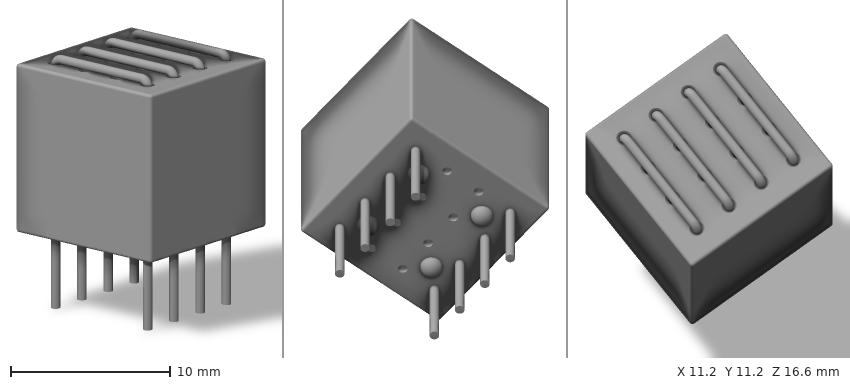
import cadquery as cq

housing_width = 11.2
housing_height = 11.0
edge_radius = 0.2

pitch = 2.54
grid_count = 4
mouth_diameter = 1.0

foot_radius = 0.7
foot_offset = pitch

wire_diameter = 0.6
bend_radius = 0.5
overall_height = 16.6

wire_radius = wire_diameter / 2
leg_offset = pitch * (grid_count - 1) / 2
grid_positions = [i * pitch - leg_offset for i in range(grid_count)]
bridge_axis_z = housing_height + wire_radius
leg_bottom_z = housing_height + wire_diameter - overall_height


def make_hole_cutter():
    """Through bore, as wide as a wire, with a 45 degree countersink at the top face."""
    countersink_depth = (mouth_diameter - wire_diameter) / 2
    return (
        cq.Workplane("XZ")
        .moveTo(0, 0)
        .lineTo(wire_radius, 0)
        .lineTo(wire_radius, housing_height - countersink_depth)
        .lineTo(mouth_diameter / 2, housing_height)
        .lineTo(0, housing_height)
        .close()
        .revolve(360, (0, 0, 0), (0, 1, 0))
    )


def make_foot():
    """Half ball hanging below the plane z = 0."""
    return (
        cq.Workplane("XZ")
        .moveTo(0, 0)
        .lineTo(foot_radius, 0)
        .radiusArc((0, -foot_radius), foot_radius)
        .close()
        .revolve(360, (0, 0, 0), (0, 1, 0))
    )


def make_housing():
    """Rounded block with the grid of wire holes and four feet."""
    block = (
        cq.Workplane("XY")
        .box(housing_width, housing_width, housing_height, centered=(True, True, False))
        .edges()
        .fillet(edge_radius)
    )
    hole_cutter = make_hole_cutter()
    for x in grid_positions:
        for y in grid_positions:
            block = block.cut(hole_cutter.translate((x, y, 0)))
    foot = make_foot()
    for x in (-foot_offset, foot_offset):
        for y in (-foot_offset, foot_offset):
            block = block.union(foot.translate((x, y, 0)))
    return block


def make_wire(y):
    """Round wire swept along leg, bend, bridge, bend and leg in the plane at y."""
    bend_start_z = bridge_axis_z - bend_radius
    bridge_end = leg_offset - bend_radius
    path = (
        cq.Workplane("XZ", origin=(0, y, 0))
        .moveTo(-leg_offset, leg_bottom_z)
        .lineTo(-leg_offset, bend_start_z)
        .radiusArc((-bridge_end, bridge_axis_z), bend_radius)
        .lineTo(bridge_end, bridge_axis_z)
        .radiusArc((leg_offset, bend_start_z), bend_radius)
        .lineTo(leg_offset, leg_bottom_z)
    )
    return (
        cq.Workplane("XY", origin=(-leg_offset, y, leg_bottom_z))
        .circle(wire_radius)
        .sweep(path)
    )


housing = make_housing()
wires = [make_wire(y) for y in grid_positions]

result = cq.Compound.makeCompound([housing.solids().val(), *[wire.val() for wire in wires]])